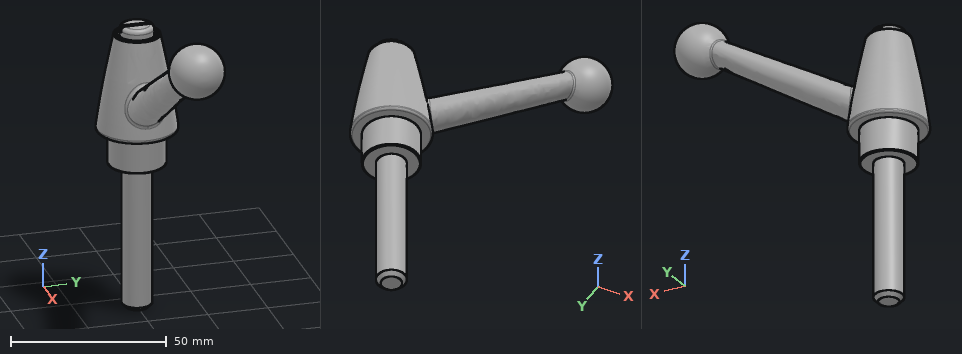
import cadquery as cq
import math

stud_diameter = 10.0
stud_chamfer = 1.5
collar_diameter = 19.0
collar_bottom = 50.0
collar_height = 11.9
collar_chamfer = 0.4

hub_bottom = collar_bottom + collar_height
hub_height = 33.3
hub_top = hub_bottom + hub_height
hub_base_radius = 13.3
hub_top_radius = 7.5
hub_bulge = 0.4
rim_height = 1.2
rim_round = 0.7
hub_top_chamfer = 0.4

recess_diameter = 13.1
recess_depth = 0.7
head_diameter = 11.2
head_height = 2.9
head_round = 1.4
head_top = hub_top + head_height
slot_width = 1.4
slot_depth = 1.8

total_height = 119.0
ball_radius = 9.0
ball_x = 69.9
ball_z = total_height - ball_radius
arm_angle = 32.8
arm_offset = 1.2
arm_length = 76.2
arm_root_width = 12.6
arm_root_depth = 11.7
arm_tip_width = 10.2
arm_tip_depth = 8.3
root_fillet = 1.4
ball_fillet = 0.7


def cylinder(diameter, bottom, height):
    return cq.Workplane("XY").workplane(offset=bottom).circle(diameter / 2).extrude(height)


def make_stud():
    return cylinder(stud_diameter, 0, hub_bottom).faces("<Z").chamfer(stud_chamfer)


def make_collar():
    collar = cylinder(collar_diameter, collar_bottom, collar_height)
    return collar.faces("<Z").edges().chamfer(collar_chamfer)


def make_hub():
    rim_top = hub_bottom + rim_height
    side_middle = (
        (hub_base_radius + hub_top_radius) / 2 + hub_bulge,
        (rim_top + hub_top) / 2,
    )
    profile = (
        cq.Workplane("XZ")
        .moveTo(0, hub_bottom)
        .lineTo(hub_base_radius, hub_bottom)
        .lineTo(hub_base_radius, rim_top)
        .threePointArc(side_middle, (hub_top_radius, hub_top))
        .lineTo(0, hub_top)
        .close()
    )
    hub = profile.revolve(360, (0, 0, 0), (0, 1, 0))
    hub = hub.faces("<Z").edges().fillet(rim_round)
    return hub.faces(">Z").edges().chamfer(hub_top_chamfer)


def make_arm():
    angle = math.radians(arm_angle)
    direction = cq.Vector(math.cos(angle), 0, math.sin(angle))
    upward = cq.Vector(-math.sin(angle), 0, math.cos(angle))
    tip = cq.Vector(ball_x, 0, ball_z) + upward * arm_offset
    root = tip - direction * arm_length
    root_plane = cq.Plane(origin=root, xDir=(0, 1, 0), normal=direction)
    return (
        cq.Workplane(root_plane)
        .ellipse(arm_root_width / 2, arm_root_depth / 2)
        .workplane(offset=arm_length)
        .ellipse(arm_tip_width / 2, arm_tip_depth / 2)
        .loft(ruled=True)
    )


def make_lever():
    """Hub, arm and ball blended together, with the screw recess in the hub top."""
    ball = cq.Workplane("XY").sphere(ball_radius).translate((ball_x, 0, ball_z))
    lever = make_hub().union(make_arm())
    root_region = cq.selectors.BoxSelector(
        (hub_top_radius, -arm_root_width, hub_bottom + 2 * rim_height),
        (hub_base_radius, arm_root_width, hub_top - rim_height),
        boundingbox=False,
    )
    lever = lever.edges(root_region).fillet(root_fillet)
    lever = lever.union(ball)
    neck_region = cq.selectors.BoxSelector(
        (ball_x - ball_radius, -ball_radius, ball_z - ball_radius),
        (ball_x - ball_radius / 2, ball_radius, ball_z + ball_radius),
        boundingbox=False,
    )
    lever = lever.edges(neck_region).fillet(ball_fillet)
    return lever.cut(cylinder(recess_diameter, hub_top - recess_depth, recess_depth))


def make_screw_head():
    bottom = hub_top - recess_depth
    head = cylinder(head_diameter, bottom, head_top - bottom)
    head = head.faces(">Z").edges().fillet(head_round)
    slot = (
        cq.Workplane("XY")
        .workplane(offset=head_top - slot_depth)
        .rect(slot_width, head_diameter)
        .extrude(slot_depth)
    )
    return head.cut(slot)


result = (
    make_lever()
    .union(make_collar())
    .union(make_stud())
    .union(make_screw_head())
)